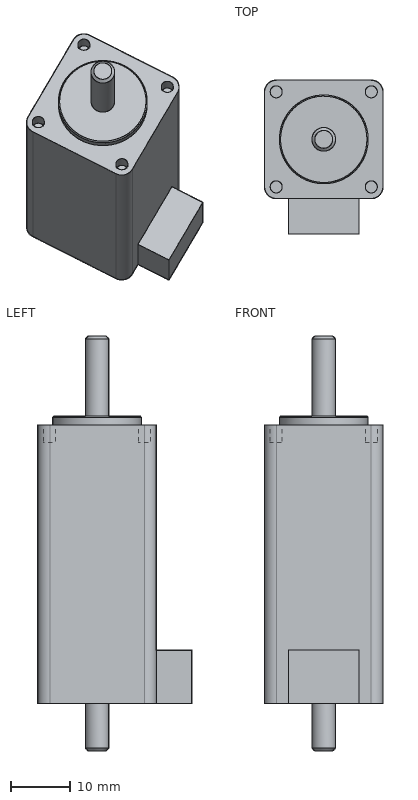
import cadquery as cq

body_width = 20.0
body_height = 47.05
corner_radius = 2.0

pilot_diameter = 15.0
pilot_height = 1.5
pilot_chamfer = 0.2

shaft_diameter = 4.0
shaft_length = 70.0
rear_shaft_length = 8.0
shaft_chamfer = 0.5

hole_diameter = 2.0
hole_spacing = 16.0
hole_depth = 3.0

connector_width = 12.0
connector_projection = 5.95
connector_height = 9.0


def make_body():
    body = (
        cq.Workplane("XY")
        .rect(body_width, body_width)
        .extrude(body_height)
        .edges("|Z")
        .fillet(corner_radius)
    )
    mounting_holes = (
        cq.Workplane("XY", origin=(0, 0, body_height))
        .rect(hole_spacing, hole_spacing, forConstruction=True)
        .vertices()
        .circle(hole_diameter / 2)
        .extrude(-hole_depth)
    )
    return body.cut(mounting_holes)


def make_pilot():
    return (
        cq.Workplane("XY", origin=(0, 0, body_height))
        .circle(pilot_diameter / 2)
        .extrude(pilot_height)
        .faces(">Z")
        .chamfer(pilot_chamfer)
    )


def make_shaft():
    return (
        cq.Workplane("XY", origin=(0, 0, -rear_shaft_length))
        .circle(shaft_diameter / 2)
        .extrude(shaft_length)
        .faces("<Z or >Z")
        .chamfer(shaft_chamfer)
    )


def make_connector():
    return (
        cq.Workplane("XY", origin=(0, -(body_width + connector_projection) / 2, 0))
        .rect(connector_width, connector_projection)
        .extrude(connector_height)
    )


result = make_body().union(make_pilot()).union(make_shaft()).union(make_connector())